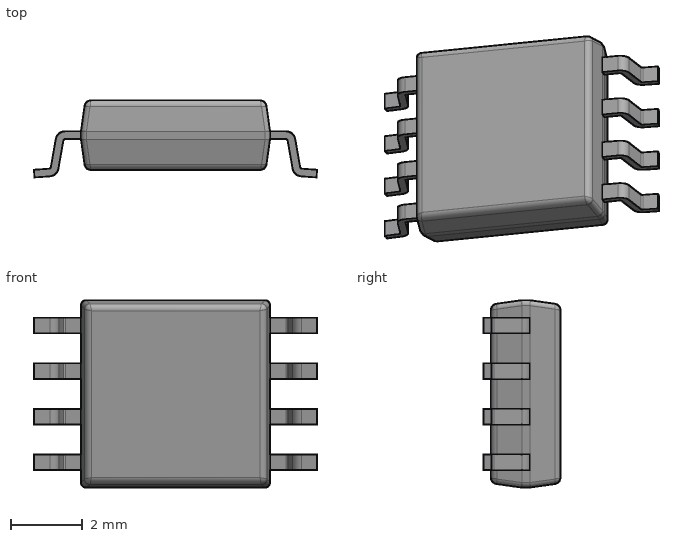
import cadquery as cq
import math

SPAN = 7.9
TOTAL_THICKNESS = 2.16

BODY_WIDTH = 5.28
BODY_LENGTH = 5.23
BODY_THICKNESS = 1.95
BAND_THICKNESS = 0.22
DRAFT_ANGLE = 8.0
CORNER_RADIUS = 0.15
RIM_RADIUS = 0.2

LEADS_PER_SIDE = 4
LEAD_PITCH = 1.27
LEAD_WIDTH = 0.44
LEAD_THICKNESS = BAND_THICKNESS
KNEE_X = 3.3
LEG_ANGLE = 10.0
FOOT_ANGLE = 4.0
INNER_BEND_RADIUS = 0.05
OUTER_BEND_RADIUS = INNER_BEND_RADIUS + LEAD_THICKNESS

FOOT_BOTTOM_Y = BODY_THICKNESS / 2 - TOTAL_THICKNESS


def make_half_body(direction):
    """Half of the package on one side of its mid-plane: half the band, then the drafted part."""
    band_depth = BAND_THICKNESS / 2
    drafted_depth = BODY_THICKNESS / 2 - band_depth
    band = cq.Workplane("XZ").rect(BODY_WIDTH, BODY_LENGTH).extrude(-direction * band_depth)
    drafted = (
        cq.Workplane("XZ", origin=(0, direction * band_depth, 0))
        .rect(BODY_WIDTH, BODY_LENGTH)
        .extrude(-direction * drafted_depth, taper=DRAFT_ANGLE)
    )
    return band.union(drafted)


def make_body():
    sharp_body = make_half_body(1).union(make_half_body(-1)).clean()
    rounded_rims = sharp_body.faces("<Y or >Y").edges().fillet(RIM_RADIUS)
    return rounded_rims.edges("not(#Y)").edges("%LINE").fillet(CORNER_RADIUS)


def crossing(point_a, direction_a, point_b, direction_b):
    """Point where two lines, each given by a point and a direction, cross."""
    cross = direction_a[0] * direction_b[1] - direction_a[1] * direction_b[0]
    gap = (point_b[0] - point_a[0], point_b[1] - point_a[1])
    distance = (gap[0] * direction_b[1] - gap[1] * direction_b[0]) / cross
    return (point_a[0] + distance * direction_a[0], point_a[1] + distance * direction_a[1])


def make_lead():
    """The lead on the +X side, centred on Z = 0, with its root against the package side."""
    leg = math.radians(LEG_ANGLE)
    foot = math.radians(FOOT_ANGLE)
    root_x = BODY_WIDTH / 2
    top_y = LEAD_THICKNESS / 2
    bottom_y = -LEAD_THICKNESS / 2
    leg_direction = (math.sin(leg), -math.cos(leg))
    foot_direction = (math.cos(foot), -math.sin(foot))

    tip_top = (SPAN / 2, FOOT_BOTTOM_Y + LEAD_THICKNESS * math.cos(foot))
    knee_top = (KNEE_X, top_y)
    ankle_top = crossing(knee_top, leg_direction, tip_top, foot_direction)

    tip_bottom = (tip_top[0] - LEAD_THICKNESS * math.sin(foot), FOOT_BOTTOM_Y)
    leg_inner_point = (KNEE_X - LEAD_THICKNESS * math.cos(leg), top_y - LEAD_THICKNESS * math.sin(leg))
    knee_bottom = crossing((root_x, bottom_y), (1, 0), leg_inner_point, leg_direction)
    ankle_bottom = crossing(leg_inner_point, leg_direction, tip_bottom, foot_direction)

    outline = [
        (root_x, top_y), knee_top, ankle_top, tip_top,
        tip_bottom, ankle_bottom, knee_bottom, (root_x, bottom_y),
    ]
    strip = cq.Workplane("XY").polyline(outline).close().extrude(LEAD_WIDTH / 2, both=True)
    for (x, y), radius in [
        (knee_top, OUTER_BEND_RADIUS),
        (ankle_top, INNER_BEND_RADIUS),
        (knee_bottom, INNER_BEND_RADIUS),
        (ankle_bottom, OUTER_BEND_RADIUS),
    ]:
        strip = strip.edges(cq.selectors.NearestToPointSelector((x, y, 0))).fillet(radius)
    return strip


def make_leads():
    """Both rows of leads; the -X row mirrors the +X row."""
    right_lead = make_lead()
    left_lead = right_lead.mirror("YZ")
    leads = []
    for index in range(LEADS_PER_SIDE):
        z = (index - (LEADS_PER_SIDE - 1) / 2) * LEAD_PITCH
        for lead in (right_lead, left_lead):
            leads.append(lead.translate((0, 0, z)).val())
    return leads


body = make_body()
leads = make_leads()

result = cq.Compound.makeCompound([body.val(), *leads])